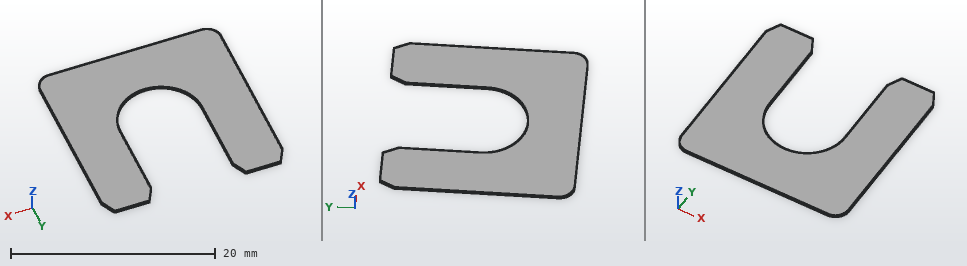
import cadquery as cq

side = 19.05
thickness = 0.25
slot_width = 8.61
arm_width = (side - slot_width) / 2
web_width = arm_width
corner_radius = 1.5
tip_taper_width = 0.78
tip_taper_length = 1.5

half_side = side / 2
slot_radius = slot_width / 2
slot_bottom = -half_side + web_width
slot_centre = slot_bottom + slot_radius
taper_start = half_side - tip_taper_length

outline = (
    cq.Workplane("XY", origin=(0, 0, -thickness / 2))
    .moveTo(-half_side, -half_side)
    .lineTo(half_side, -half_side)
    .lineTo(half_side, taper_start)
    .lineTo(half_side - tip_taper_width, half_side)
    .lineTo(slot_radius + tip_taper_width, half_side)
    .lineTo(slot_radius, taper_start)
    .lineTo(slot_radius, slot_centre)
    .threePointArc((0, slot_bottom), (-slot_radius, slot_centre))
    .lineTo(-slot_radius, taper_start)
    .lineTo(-slot_radius - tip_taper_width, half_side)
    .lineTo(-half_side + tip_taper_width, half_side)
    .lineTo(-half_side, taper_start)
    .close()
)
plate = outline.extrude(thickness)

closed_end = plate.faces("<Y").edges("|Z")
result = closed_end.fillet(corner_radius)